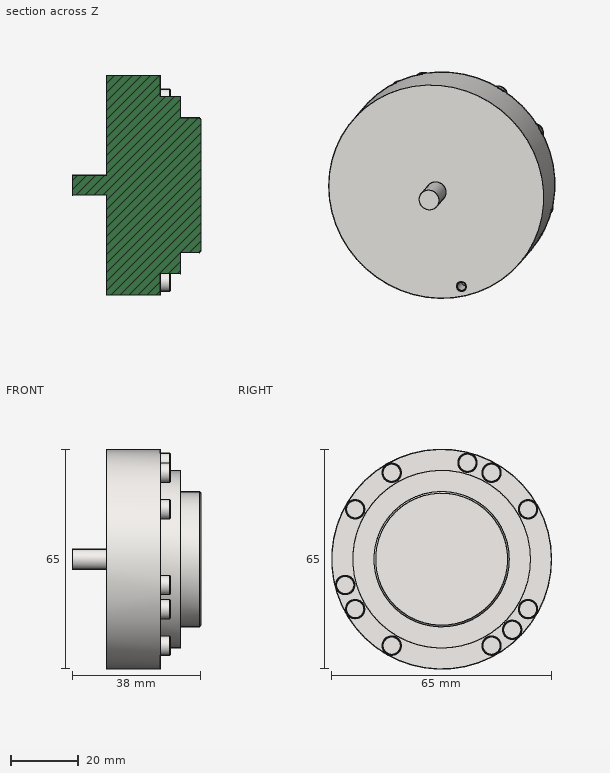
import cadquery as cq
import math

shaft_diameter = 6.0
shaft_length = 10.0

body_diameter = 65.0
body_thickness = 16.0

flange_diameter = 52.5
flange_thickness = 6.0

hub_diameter = 40.0
hub_thickness = 6.0
hub_chamfer = 0.5

screw_circle_radius = 29.5
head_diameter = 5.7
head_height = 3.0
head_edge_chamfer = 0.3
full_turn = 360
quarter_turn = full_turn // 4
third_turn = full_turn // 3
screw_pair_angles = (30, 60)
extra_screw_start_angle = 75

hole_angle = 255
hole_diameter = 2.5
hole_mouth_diameter = 3.0
hole_depth = 6.0

body_back = body_thickness
flange_back = body_back + flange_thickness


def cylinder(x_start, length, diameter, y=0.0, z=0.0):
    """Solid cylinder along +X, starting at x_start."""
    return cq.Workplane("YZ", origin=(x_start, y, z)).circle(diameter / 2).extrude(length)


def on_screw_circle(angle):
    """Y and Z of a point on the screw circle."""
    turn = math.radians(angle)
    return screw_circle_radius * math.cos(turn), screw_circle_radius * math.sin(turn)


def make_housing():
    """Shaft, body, flange and hub in one turned piece."""
    shaft = cylinder(-shaft_length, shaft_length, shaft_diameter)
    body = cylinder(0, body_thickness, body_diameter)
    flange = cylinder(body_back, flange_thickness, flange_diameter)
    hub = cylinder(flange_back, hub_thickness, hub_diameter).faces(">X").chamfer(hub_chamfer)
    return body.union(shaft).union(flange).union(hub)


def screw_angles():
    """Four pairs a quarter turn apart, plus three single screws a third of a turn apart."""
    pairs = [start + turn for turn in range(0, full_turn, quarter_turn) for start in screw_pair_angles]
    extras = [extra_screw_start_angle + turn for turn in range(0, full_turn, third_turn)]
    return pairs + extras


def make_screw_head(angle):
    """Screw head standing on the back of the body and let into the flange rim."""
    y, z = on_screw_circle(angle)
    return cylinder(body_back, head_height, head_diameter, y, z).faces(">X").chamfer(head_edge_chamfer)


def make_blind_hole():
    """Blind hole in the shaft side of the body, with a 45 degree countersunk mouth."""
    y, z = on_screw_circle(hole_angle)
    mouth_depth = (hole_mouth_diameter - hole_diameter) / 2
    mouth = (
        cq.Workplane("YZ", origin=(0, y, z))
        .circle(hole_mouth_diameter / 2)
        .workplane(offset=mouth_depth)
        .circle(hole_diameter / 2)
        .loft(ruled=True)
    )
    return cylinder(0, hole_depth, hole_diameter, y, z).union(mouth)


result = make_housing()
for screw_angle in screw_angles():
    result = result.union(make_screw_head(screw_angle))
result = result.cut(make_blind_hole())